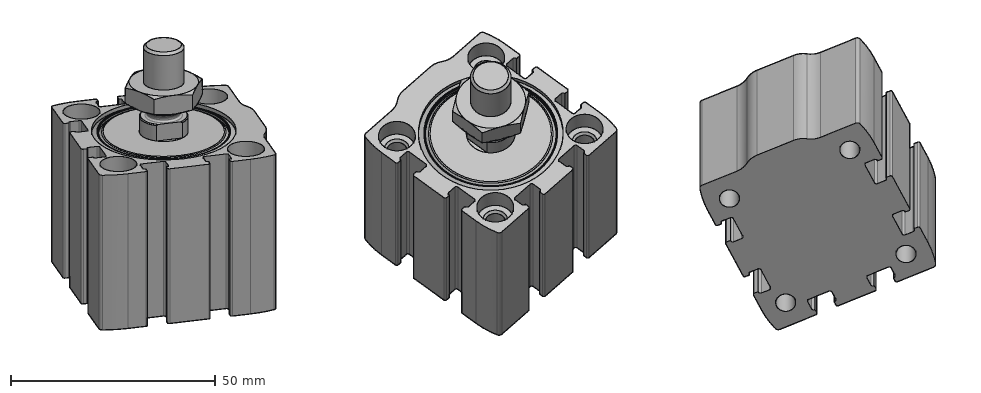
import cadquery as cq
import math

BODY_WIDTH = 45.0
BODY_HEIGHT = 41.55
HALF_WIDTH = BODY_WIDTH / 2
HUMP_TOP = 24.5
HUMP_FLAT_HALF = 4.95
HUMP_FOOT_HALF = 11.3
SIDE_FLAT_HALF = 15.6
SIDE_BOW_RADIUS = 23.0
CORNER_FILLET = 0.95

SLOT_OFFSET = 8.0
SLOT_NECK_WIDTH = 5.15
SLOT_WIDTH = 6.5
SLOT_DEPTH = 4.7
SLOT_LIP = 1.5
SLOT_FILLET = 0.5
LIP_FILLET = 0.45

HOLE_OFFSET = 16.25
HOLE_DIAMETER = 4.9
COUNTERBORE_DIAMETER = 9.0
COUNTERBORE_DEPTH = 5.15
COUNTERSINK_DIAMETER = 6.05

RECESS_DIAMETER = 35.4
RECESS_DEPTH = 1.0
CREST_DIAMETER = 32.75
CREST_DEPTH = 0.3
CREST_INNER_DIAMETER = 32.4
GROOVE_DIAMETER = 32.0
GROOVE_TOP_DEPTH = 0.45
GROOVE_DEPTH = 1.1
SHOULDER_DIAMETER = 30.45
SHOULDER_DEPTH = 0.45
COLLAR_FACE_DIAMETER = 29.7
COLLAR_FACE_DEPTH = 0.3

ROD_TOP = 64.5
ROD_DIAMETER = 12.0
ROD_FLATS = 10.0
ROD_SHOULDER = 45.6
ROD_SHOULDER_CHAMFER = 0.25
THREAD_DIAMETER = 10.0
THREAD_BOTTOM = 47.65
TIP_DIAMETER = 8.65
NECK_DIAMETER = 8.1
NECK_FILLET = 0.5
COLLAR_FACE = BODY_HEIGHT - COLLAR_FACE_DEPTH
ROD_BOTTOM = COLLAR_FACE - ROD_DIAMETER

NUT_FLATS = 17.0
NUT_THICKNESS = 5.0
NUT_BOTTOM = 49.55
NUT_BEVEL = 0.5


def bow_x(y):
    """X of the bowed stretch of the +X face at distance `y` from the XZ plane."""
    return HALF_WIDTH - SIDE_BOW_RADIUS + math.sqrt(SIDE_BOW_RADIUS**2 - (y - SIDE_FLAT_HALF) ** 2)


def housing_block():
    """Housing without slots and holes: square, bowed next to the corners, with a hump on +Y."""
    corner_x = bow_x(HALF_WIDTH)
    bow_mid_y = (SIDE_FLAT_HALF + HALF_WIDTH) / 2
    hump_mid = ((HUMP_FLAT_HALF + HUMP_FOOT_HALF) / 2, (HALF_WIDTH + HUMP_TOP) / 2)
    block = (
        cq.Workplane("XY")
        .moveTo(0, -HALF_WIDTH)
        .lineTo(corner_x, -HALF_WIDTH)
        .threePointArc((bow_x(bow_mid_y), -bow_mid_y), (HALF_WIDTH, -SIDE_FLAT_HALF))
        .lineTo(HALF_WIDTH, SIDE_FLAT_HALF)
        .threePointArc((bow_x(bow_mid_y), bow_mid_y), (corner_x, HALF_WIDTH))
        .lineTo(HUMP_FOOT_HALF, HALF_WIDTH)
        .tangentArcPoint(hump_mid, relative=False)
        .tangentArcPoint((HUMP_FLAT_HALF, HUMP_TOP), relative=False)
        .lineTo(0, HUMP_TOP)
        .mirrorY()
        .extrude(BODY_HEIGHT)
    )
    for x in (-corner_x, corner_x):
        for y in (-HALF_WIDTH, HALF_WIDTH):
            corner = cq.selectors.NearestToPointSelector((x, y, BODY_HEIGHT / 2))
            block = block.edges(corner).fillet(CORNER_FILLET)
    return block


def lip_rounding(offset, side):
    """Cutter that rounds the outer edge of the lip on one side of a slot in the +X face."""
    edge_y = offset + side * SLOT_NECK_WIDTH / 2
    arc_mid_step = LIP_FILLET * (1 - math.sqrt(0.5))
    return (
        cq.Workplane("XY")
        .moveTo(HALF_WIDTH, edge_y)
        .lineTo(HALF_WIDTH - LIP_FILLET, edge_y)
        .threePointArc(
            (HALF_WIDTH - arc_mid_step, edge_y + side * arc_mid_step),
            (HALF_WIDTH, edge_y + side * LIP_FILLET),
        )
        .close()
        .extrude(BODY_HEIGHT)
    )


def t_slot(angle, offset):
    """Cutter for one T-slot in the face that points along `angle`, at `offset` along that face."""
    floor = HALF_WIDTH - SLOT_DEPTH
    lip = HALF_WIDTH - SLOT_LIP
    chamber = (
        cq.Workplane("XY")
        .center((floor + lip) / 2, offset)
        .rect(lip - floor, SLOT_WIDTH)
        .extrude(BODY_HEIGHT)
        .edges("|Z")
        .fillet(SLOT_FILLET)
    )
    neck = (
        cq.Workplane("XY")
        .center((floor + HALF_WIDTH) / 2, offset)
        .rect(SLOT_DEPTH, SLOT_NECK_WIDTH)
        .extrude(BODY_HEIGHT)
    )
    cutter = chamber.union(neck)
    for side in (-1, 1):
        cutter = cutter.union(lip_rounding(offset, side))
    return cutter.rotate((0, 0, 0), (0, 0, 1), angle)


def mounting_hole(x, y):
    """Cutter for a through hole with a counterbore and a 45 degree countersink below it."""
    hole_r = HOLE_DIAMETER / 2
    sink_r = COUNTERSINK_DIAMETER / 2
    bore_r = COUNTERBORE_DIAMETER / 2
    floor = BODY_HEIGHT - COUNTERBORE_DEPTH
    return (
        cq.Workplane("XZ")
        .polyline([
            (0, 0),
            (hole_r, 0),
            (hole_r, floor - (sink_r - hole_r)),
            (sink_r, floor),
            (bore_r, floor),
            (bore_r, BODY_HEIGHT),
            (0, BODY_HEIGHT),
        ])
        .close()
        .revolve(360, (0, 0, 0), (0, 1, 0))
        .translate((x, y, 0))
    )


def collar_recess():
    """Cutter for the stepped ring recess around the collar."""
    steps = [
        (RECESS_DIAMETER, 0),
        (RECESS_DIAMETER, RECESS_DEPTH),
        (CREST_DIAMETER, CREST_DEPTH),
        (CREST_INNER_DIAMETER, CREST_DEPTH),
        (GROOVE_DIAMETER, GROOVE_TOP_DEPTH),
        (GROOVE_DIAMETER, GROOVE_DEPTH),
        (SHOULDER_DIAMETER, SHOULDER_DEPTH),
        (COLLAR_FACE_DIAMETER, COLLAR_FACE_DEPTH),
        (0, COLLAR_FACE_DEPTH),
        (0, 0),
    ]
    return (
        cq.Workplane("XZ")
        .polyline([(diameter / 2, BODY_HEIGHT - depth) for diameter, depth in steps])
        .close()
        .revolve(360, (0, 0, 0), (0, 1, 0))
    )


def make_housing():
    """Housing with T-slots in the -X, +X and -Y faces, four mounting holes and the rod socket."""
    body = housing_block()
    for angle in (0, 180, 270):
        for offset in (-SLOT_OFFSET, SLOT_OFFSET):
            body = body.cut(t_slot(angle, offset))
    for x in (-HOLE_OFFSET, HOLE_OFFSET):
        for y in (-HOLE_OFFSET, HOLE_OFFSET):
            body = body.cut(mounting_hole(x, y))
    rod_socket = (
        cq.Workplane("XY", origin=(0, 0, ROD_BOTTOM))
        .circle(ROD_DIAMETER / 2)
        .extrude(BODY_HEIGHT - ROD_BOTTOM)
    )
    return body.cut(collar_recess()).cut(rod_socket)


def make_rod():
    """Rod with its foot in the housing socket, two wrench flats, an undercut neck and a thread."""
    rod_r = ROD_DIAMETER / 2
    thread_r = THREAD_DIAMETER / 2
    tip_r = TIP_DIAMETER / 2
    neck_r = NECK_DIAMETER / 2
    diagonal = NECK_FILLET * math.sqrt(0.5)
    cone_foot_r = neck_r + NECK_FILLET - diagonal
    cone_foot_z = THREAD_BOTTOM - (thread_r - cone_foot_r)
    neck_top = cone_foot_z - diagonal
    neck_bottom = ROD_SHOULDER + NECK_FILLET
    rod = (
        cq.Workplane("XZ")
        .moveTo(0, ROD_BOTTOM)
        .lineTo(rod_r, ROD_BOTTOM)
        .lineTo(rod_r, ROD_SHOULDER - ROD_SHOULDER_CHAMFER)
        .lineTo(rod_r - ROD_SHOULDER_CHAMFER, ROD_SHOULDER)
        .lineTo(neck_r + NECK_FILLET, ROD_SHOULDER)
        .threePointArc((cone_foot_r, neck_bottom - diagonal), (neck_r, neck_bottom))
        .lineTo(neck_r, neck_top)
        .tangentArcPoint((cone_foot_r, cone_foot_z), relative=False)
        .lineTo(thread_r, THREAD_BOTTOM)
        .lineTo(thread_r, ROD_TOP - (thread_r - tip_r))
        .lineTo(tip_r, ROD_TOP)
        .lineTo(0, ROD_TOP)
        .close()
        .revolve(360, (0, 0, 0), (0, 1, 0))
    )
    flats = (
        cq.Workplane("XY", origin=(0, 0, COLLAR_FACE))
        .rect(2 * ROD_DIAMETER, 2 * ROD_DIAMETER)
        .rect(ROD_FLATS, 2 * ROD_DIAMETER)
        .extrude(ROD_SHOULDER - COLLAR_FACE)
    )
    return rod.cut(flats)


def make_nut():
    """Hexagon nut, bevelled on both faces, with two flats facing -X and +X."""
    corner_r = NUT_FLATS / 2 / math.cos(math.pi / 6)
    flat_r = NUT_FLATS / 2
    top = NUT_BOTTOM + NUT_THICKNESS
    hexagon = (
        cq.Workplane("XY", origin=(0, 0, NUT_BOTTOM))
        .polygon(6, 2 * corner_r)
        .extrude(NUT_THICKNESS)
        .rotate((0, 0, 0), (0, 0, 1), 30)
    )
    bevelled = (
        cq.Workplane("XZ")
        .polyline([
            (0, NUT_BOTTOM),
            (flat_r, NUT_BOTTOM),
            (corner_r, NUT_BOTTOM + NUT_BEVEL),
            (corner_r, top - NUT_BEVEL),
            (flat_r, top),
            (0, top),
        ])
        .close()
        .revolve(360, (0, 0, 0), (0, 1, 0))
    )
    bore = cq.Workplane("XY", origin=(0, 0, NUT_BOTTOM)).circle(THREAD_DIAMETER / 2).extrude(NUT_THICKNESS)
    return hexagon.intersect(bevelled).cut(bore)


housing = make_housing()
rod = make_rod()
nut = make_nut()

result = cq.Compound.makeCompound([housing.val(), rod.val(), nut.val()])